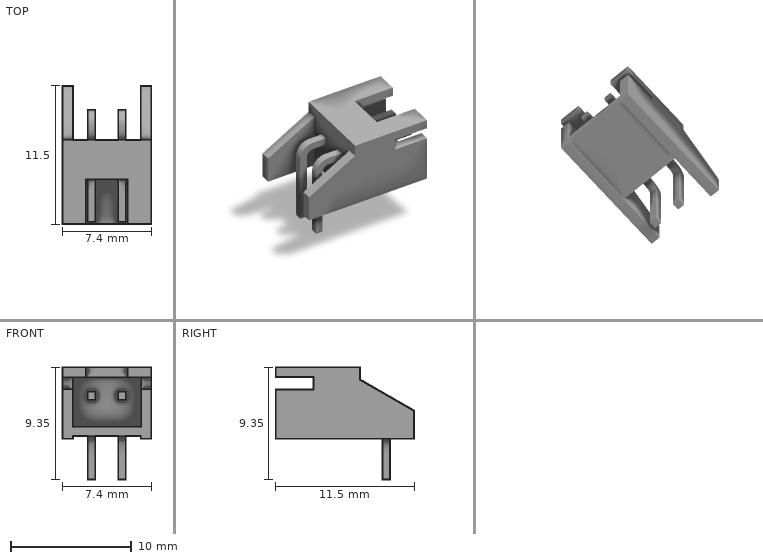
import cadquery as cq

LENGTH = 11.5
WIDTH = 7.4
TOTAL_HEIGHT = 9.35

BODY_HEIGHT = 5.96
BODY_DEPTH = 7.02
ROOF_THICKNESS = 0.83
FLOOR_TOP = 1.01
CAVITY_WIDTH = 5.68
CAVITY_DEPTH = 4.75
ROOF_SLOT_WIDTH = 3.52
ROOF_SLOT_DEPTH = 3.71
SIDE_SLOT_HEIGHT = 1.01
SIDE_SLOT_DEPTH = 3.13

ARM_THICKNESS = 0.89
ARM_FRONT_HEIGHT = 4.93
ARM_REAR_HEIGHT = 2.36
RECESS_HEIGHT = 0.24

PIN_SIZE = 0.64
PIN_PITCH = 2.53
PIN_AXIS_HEIGHT = 3.59
PIN_FRONT = 0.21
PIN_REAR = LENGTH - 1.98
BEND_RADIUS = 1.25

CAVITY_TOP = BODY_HEIGHT - ROOF_THICKNESS
ARM_GAP = WIDTH - 2 * ARM_THICKNESS


def block(width, y_range, z_range):
    """Box centred on X, spanning the given Y and Z ranges."""
    depth = y_range[1] - y_range[0]
    height = z_range[1] - z_range[0]
    box = cq.Workplane("XY").box(width, depth, height, centered=(True, False, False))
    return box.translate((0, y_range[0], z_range[0]))


def make_housing():
    """Side profile with sloped arms, hollowed and slotted."""
    profile = [
        (0, 0),
        (LENGTH, 0),
        (LENGTH, ARM_REAR_HEIGHT),
        (BODY_DEPTH, ARM_FRONT_HEIGHT),
        (BODY_DEPTH, BODY_HEIGHT),
        (0, BODY_HEIGHT),
    ]
    housing = cq.Workplane("YZ").polyline(profile).close().extrude(WIDTH / 2, both=True)
    arm_gap = block(ARM_GAP, (BODY_DEPTH, LENGTH), (0, BODY_HEIGHT))
    standoff = block(ARM_GAP, (0, BODY_DEPTH), (0, RECESS_HEIGHT))
    cavity = block(CAVITY_WIDTH, (0, CAVITY_DEPTH), (FLOOR_TOP, CAVITY_TOP))
    roof_slot = block(ROOF_SLOT_WIDTH, (0, ROOF_SLOT_DEPTH), (CAVITY_TOP, BODY_HEIGHT))
    side_slot = block(WIDTH, (0, SIDE_SLOT_DEPTH), (CAVITY_TOP - SIDE_SLOT_HEIGHT, CAVITY_TOP))
    for cutter in (arm_gap, standoff, cavity, roof_slot, side_slot):
        housing = housing.cut(cutter)
    return housing


def make_pin(x_center):
    """Square pin running back through the housing and bent down to the board."""
    top = PIN_AXIS_HEIGHT + PIN_SIZE / 2
    underside = top - PIN_SIZE
    tip = BODY_HEIGHT - TOTAL_HEIGHT
    inner_radius = BEND_RADIUS - PIN_SIZE
    bend_start = PIN_REAR - BEND_RADIUS
    bend_end = top - BEND_RADIUS
    return (
        cq.Workplane("YZ")
        .moveTo(PIN_FRONT, top)
        .lineTo(bend_start, top)
        .radiusArc((PIN_REAR, bend_end), BEND_RADIUS)
        .lineTo(PIN_REAR, tip)
        .lineTo(PIN_REAR - PIN_SIZE, tip)
        .lineTo(PIN_REAR - PIN_SIZE, bend_end)
        .radiusArc((bend_start, underside), -inner_radius)
        .lineTo(PIN_FRONT, underside)
        .close()
        .extrude(PIN_SIZE / 2, both=True)
        .translate((x_center, 0, 0))
    )


result = make_housing()
for side in (-1, 1):
    result = result.union(make_pin(side * PIN_PITCH / 2))